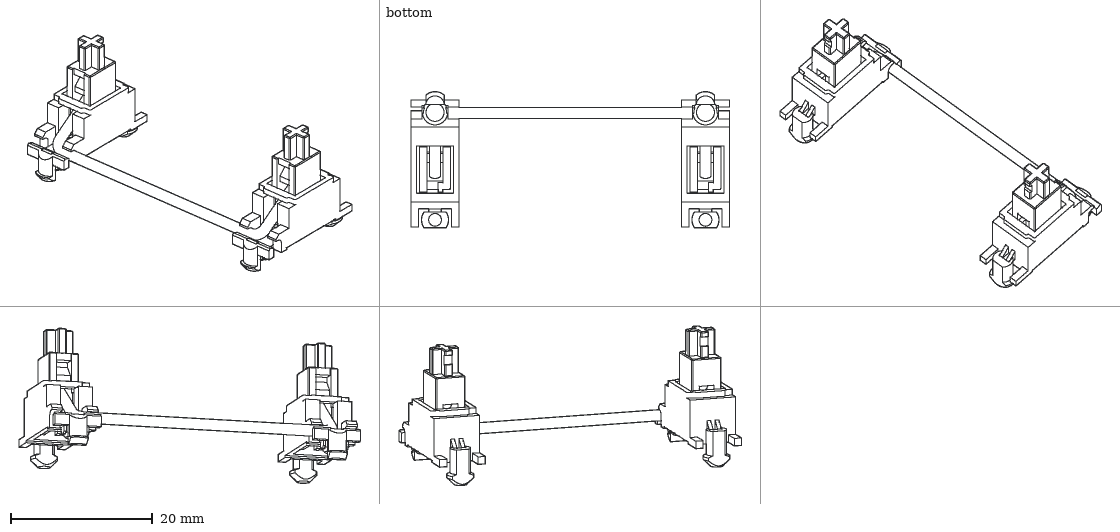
import cadquery as cq
import math


SPACING = 38.1

BODY_W = 6.8
BODY_HALF_Y = 5.53
SHOULDER_Z = 6.48
RELIEF_H = 0.27
RELIEF_Y = (-6.0, 4.58)
CAVITY_W = 5.2
CAVITY_L = 6.6
FRONT_SLOT_W = 2.6

RIM_TOP = 7.3
RIM_L = 8.4
RIM_PAD_W = 4.4
RIM_PAD_L = 9.2
RIM_FILLET = 0.19

PRONG_W = 1.09
PRONG_H = 1.09
PRONG_END_Y = 8.1
LEG_Y = 7.08
LEG_THICK = 2.24
LEG_NECK_R = 1.45
LEG_HEAD_R = 1.92
LEG_TIP_R = 0.9
LEG_TOP = 2.33
LEG_FLARE_Z = (-1.2, -1.45)
LEG_HEAD_Z = -1.87
LEG_BOTTOM = -2.9
GUSSET_W = 1.8
GUSSET_SLOT_W = 0.66
GUSSET_TOP = 3.33
GUSSET_BOTTOM = 1.5
GUSSET_END_Y = 6.94
GUSSET_END_Z = GUSSET_TOP - (GUSSET_END_Y - BODY_HALF_Y)

WIRE_D = 1.6
WIRE_Y = -7.98
WIRE_Z = 1.52
WIRE_SLOPE = 34.0
WIRE_BEND_R = 1.6
WIRE_ARM_END_Y = 0.8

CHEEK_W = 1.55
CHEEK_TOP = 3.27
CHEEK_SLOPE_Y = -7.7
CHEEK_TIP_Y = -8.32
CHEEK_TIP_Z = 2.65
CLIP_R = WIRE_D / 2 + 0.03
FLOOR_TOP = 0.68
FLOOR_W = BODY_W - 2 * CHEEK_W
BOSS_R = 1.77
BOSS_Y = -8.07
BOSS_H = 1.45
BOSS_CHAMFER = 0.5
KEY_Y = -8.34
KEY_L = 1.38
KEY_H = 1.1
KEY_CHAMFER = 0.35

BAR_BACK_Y = WIRE_Y - CLIP_R
BAR_FRONT_Y = -9.84
BAR_RIDGE_Y = -9.6
BAR_RIDGE_Z = 1.75
BAR_EDGE_Z = 1.47
BAR_FLAT_Z = 1.6
BAR_FLAT_W = 1.84
LATCH_W = 2.6
LATCH_BACK_Y = -9.2
LATCH_AXIS_Y = -9.06
LATCH_R = 1.53
LATCH_FRONT_Y = LATCH_AXIS_Y - LATCH_R
LATCH_SLOPE_Z = 0.84
LATCH_BOTTOM = -2.72
LATCH_TIP_R = 1.32
LIP_R = 1.94
LIP_FRONT_Y = LATCH_AXIS_Y - LIP_R
LIP_TOP = -1.73
LIP_EDGE_Z = -1.95

STEM_W = 4.4
STEM_L = 5.66
STEM_BOTTOM = 1.0
STEM_TOP = 11.72
STEM_CHAMFER = 0.15
CROSS_X = 4.0
CROSS_Y = 4.1
CROSS_ARM_X = 1.2
CROSS_ARM_Y = 1.3
CROSS_TOP = 15.4
CROSS_CHAMFER = 0.15
NOTCH_TOP = 14.63
NOTCH_H = 1.35
NOTCH_DEPTH = 0.35
GROOVE_W = 2.2
GROOVE_DEPTH = 0.32
PASSAGE_TOP = 7.75
WINDOW_Z = (8.6, 10.7)
BAR_FACE_Y = -2.25
WINDOW_BACK_Y = -0.85
RAMP_TOP = 10.0
WIRE_POCKET_Y = (-1.0, 1.6)
RAIL_TOP = 6.0
RAIL_END_Y = CAVITY_L / 2 - 0.1
GUIDE_RAIL_Y = 1.83
GUIDE_RAIL_X = (0.42, GROOVE_W / 2)


def block(x, y, z):
    """Box between the given (low, high) limits."""
    size = [high - low for low, high in (x, y, z)]
    return cq.Workplane("XY").box(*size, centered=False).translate((x[0], y[0], z[0]))


def centred(width, y, z):
    """Box of the given width, centred on X = 0."""
    return block((-width / 2, width / 2), y, z)


def extruded_profile(points, width):
    """Outline of (Y, Z) points extruded evenly about X = 0."""
    return cq.Workplane("YZ").polyline(points).close().extrude(width / 2, both=True)


def make_rim():
    rim = centred(BODY_W, (-RIM_L / 2, RIM_L / 2), (SHOULDER_Z, RIM_TOP))
    pad = centred(RIM_PAD_W, (-RIM_PAD_L / 2, RIM_PAD_L / 2), (SHOULDER_Z, RIM_TOP))
    return rim.union(pad).edges("|Z").fillet(RIM_FILLET)


def make_rear_leg():
    profile = [
        (0, LEG_TOP),
        (LEG_NECK_R, LEG_TOP),
        (LEG_NECK_R, LEG_FLARE_Z[0]),
        (LEG_HEAD_R, LEG_FLARE_Z[1]),
        (LEG_HEAD_R, LEG_HEAD_Z),
        (LEG_TIP_R, LEG_BOTTOM),
        (0, LEG_BOTTOM),
    ]
    post = cq.Workplane("XZ").polyline(profile).close().revolve(360, (0, 0), (0, 1))
    slab = centred(2 * LEG_HEAD_R, (-LEG_THICK / 2, LEG_THICK / 2), (LEG_BOTTOM, LEG_TOP))
    leg = post.intersect(slab).translate((0, LEG_Y, 0))
    gusset_pocket = centred(GUSSET_W, (BODY_HALF_Y, GUSSET_END_Y), (GUSSET_END_Z, LEG_TOP))
    return leg.cut(gusset_pocket)


def make_gusset():
    profile = [
        (BODY_HALF_Y, GUSSET_BOTTOM),
        (GUSSET_END_Y, GUSSET_BOTTOM),
        (GUSSET_END_Y, GUSSET_END_Z),
        (BODY_HALF_Y, GUSSET_TOP),
    ]
    slot = centred(GUSSET_SLOT_W, (BODY_HALF_Y, GUSSET_END_Y), (GUSSET_END_Z, GUSSET_TOP))
    return extruded_profile(profile, GUSSET_W).cut(slot)


def make_cheek():
    """Side cheek with a hook over the wire, open to the front."""
    groove_back = WIRE_Y + CLIP_R
    side = (
        cq.Workplane("YZ")
        .moveTo(-BODY_HALF_Y, 0)
        .lineTo(groove_back, 0)
        .lineTo(groove_back, WIRE_Z)
        .threePointArc(
            (WIRE_Y + CLIP_R * math.sqrt(0.5), WIRE_Z + CLIP_R * math.sqrt(0.5)),
            (WIRE_Y, WIRE_Z + CLIP_R),
        )
        .lineTo(CHEEK_TIP_Y, WIRE_Z + CLIP_R)
        .lineTo(CHEEK_TIP_Y, CHEEK_TIP_Z)
        .lineTo(CHEEK_SLOPE_Y, CHEEK_TOP)
        .lineTo(-BODY_HALF_Y, CHEEK_TOP)
        .close()
    )
    return side.extrude(CHEEK_W)


def make_boss():
    boss = cq.Workplane("XY").center(0, BOSS_Y).circle(BOSS_R).extrude(-BOSS_H)
    boss = boss.faces("<Z").edges().chamfer(BOSS_CHAMFER)
    key = centred(FLOOR_W, (KEY_Y - KEY_L / 2, KEY_Y + KEY_L / 2), (-KEY_H, 0))
    return boss.union(key.faces("<Z").edges("|X").chamfer(KEY_CHAMFER))


def make_front_bar():
    profile = [
        (BAR_BACK_Y, 0),
        (BAR_FRONT_Y, 0),
        (BAR_FRONT_Y, BAR_EDGE_Z),
        (BAR_RIDGE_Y, BAR_RIDGE_Z),
        (BAR_BACK_Y, BAR_EDGE_Z),
    ]
    bar = extruded_profile(profile, BODY_W)
    return bar.cut(centred(BAR_FLAT_W, (BAR_FRONT_Y, BAR_BACK_Y), (BAR_FLAT_Z, BAR_RIDGE_Z)))


def make_latch():
    """Front leg hanging from the bar: part of a round post with a sloped top and a snap lip."""
    profile = [
        (0, BAR_EDGE_Z),
        (LATCH_R, BAR_EDGE_Z),
        (LATCH_R, LIP_TOP),
        (LIP_R, LIP_TOP),
        (LIP_R, LIP_EDGE_Z),
        (LATCH_TIP_R, LATCH_BOTTOM),
        (0, LATCH_BOTTOM),
    ]
    post = cq.Workplane("XZ").polyline(profile).close().revolve(360, (0, 0), (0, 1))
    post = post.translate((0, LATCH_AXIS_Y, 0))
    side = [
        (LATCH_BACK_Y, LATCH_BOTTOM),
        (LIP_FRONT_Y, LATCH_BOTTOM),
        (LIP_FRONT_Y, LIP_TOP),
        (LATCH_FRONT_Y, LIP_TOP),
        (LATCH_FRONT_Y, LATCH_SLOPE_Z),
        (BAR_FRONT_Y, BAR_EDGE_Z),
        (LATCH_BACK_Y, BAR_EDGE_Z),
    ]
    return post.intersect(extruded_profile(side, LATCH_W))


def make_housing():
    half_w = BODY_W / 2
    body = centred(BODY_W, (-BODY_HALF_Y, BODY_HALF_Y), (0, SHOULDER_Z)).union(make_rim())
    body = body.union(centred(FLOOR_W, (BAR_BACK_Y, -BODY_HALF_Y), (0, FLOOR_TOP)))
    for left in (-half_w, half_w - CHEEK_W):
        body = body.union(make_cheek().translate((left, 0, 0)))
    for left in (-half_w, half_w - PRONG_W):
        body = body.union(block((left, left + PRONG_W), (BODY_HALF_Y, PRONG_END_Y), (0, PRONG_H)))
    for feature in (make_rear_leg(), make_gusset(), make_boss(), make_front_bar(), make_latch()):
        body = body.union(feature)

    cavity = centred(CAVITY_W, (-CAVITY_L / 2, CAVITY_L / 2), (0, RIM_TOP))
    front_slot = centred(FRONT_SLOT_W, (-BODY_HALF_Y, 0), (FLOOR_TOP, SHOULDER_Z))
    relief = centred(BODY_W, RELIEF_Y, (0, RELIEF_H))
    return body.cut(cavity).cut(front_slot).cut(relief)


def make_cross():
    along_x = block(
        (-CROSS_X / 2, CROSS_X / 2), (-CROSS_ARM_Y / 2, CROSS_ARM_Y / 2), (STEM_TOP, CROSS_TOP)
    )
    along_y = centred(CROSS_ARM_X, (-CROSS_Y / 2, CROSS_Y / 2), (STEM_TOP, CROSS_TOP))
    cross = along_x.edges("|Z").chamfer(CROSS_CHAMFER).union(along_y.edges("|Z").chamfer(CROSS_CHAMFER))
    cross = cross.faces(">Z").edges().chamfer(CROSS_CHAMFER)
    notch = centred(
        CROSS_ARM_X, (CROSS_Y / 2 - NOTCH_DEPTH, CROSS_Y / 2), (NOTCH_TOP - NOTCH_H, NOTCH_TOP)
    )
    return cross.cut(notch)


def make_stem():
    half_w = STEM_W / 2
    front_y = -STEM_L / 2
    back_y = STEM_L / 2
    stem = centred(STEM_W, (front_y, back_y), (STEM_BOTTOM, STEM_TOP))
    stem = stem.edges("|Z").chamfer(STEM_CHAMFER).faces(">Z").edges().chamfer(STEM_CHAMFER)
    stem = stem.union(make_cross())

    right_rail = (GROOVE_W / 2, half_w)
    left_rail = (-half_w, -GROOVE_W / 2)
    rail_z = (STEM_BOTTOM, RAIL_TOP)
    for rail_x in (left_rail, right_rail):
        stem = stem.union(block(rail_x, (-RAIL_END_Y, 0), rail_z))
    stem = stem.union(block(left_rail, (0, RAIL_END_Y), rail_z))

    stem = stem.cut(centred(GROOVE_W, (front_y, front_y + GROOVE_DEPTH), (STEM_BOTTOM, STEM_TOP)))
    stem = stem.cut(centred(GROOVE_W, (front_y, back_y), (STEM_BOTTOM, PASSAGE_TOP)))
    pocket_front, pocket_back = WIRE_POCKET_Y
    pocket_rise = (pocket_back - pocket_front) * math.tan(math.radians(WIRE_SLOPE))
    wire_pocket = [
        (pocket_front, PASSAGE_TOP),
        (pocket_back, PASSAGE_TOP),
        (pocket_back, PASSAGE_TOP + pocket_rise),
    ]
    stem = stem.cut(extruded_profile(wire_pocket, GROOVE_W))
    window = [
        (front_y, PASSAGE_TOP),
        (BAR_FACE_Y, PASSAGE_TOP),
        (BAR_FACE_Y, WINDOW_Z[0]),
        (WINDOW_BACK_Y, RAMP_TOP),
        (WINDOW_BACK_Y, WINDOW_Z[1]),
        (front_y, WINDOW_Z[1]),
    ]
    stem = stem.cut(extruded_profile(window, GROOVE_W))
    guide_rail = block(GUIDE_RAIL_X, (GUIDE_RAIL_Y, RAIL_END_Y), rail_z)
    return stem.union(guide_rail)


def make_wire():
    """Straight rod with an arm bent back and up at each end, in the plane of the slope."""
    arm_length = (WIRE_ARM_END_Y - WIRE_Y) / math.cos(math.radians(WIRE_SLOPE))
    slope_plane = cq.Plane(
        origin=(0, WIRE_Y, WIRE_Z),
        xDir=(1, 0, 0),
        normal=(0, -math.sin(math.radians(WIRE_SLOPE)), math.cos(math.radians(WIRE_SLOPE))),
    )
    half = SPACING / 2
    bend_mid = WIRE_BEND_R * (1 - math.sqrt(0.5))
    path = (
        cq.Workplane(slope_plane)
        .moveTo(-half, arm_length)
        .lineTo(-half, WIRE_BEND_R)
        .threePointArc((-half + bend_mid, bend_mid), (-half + WIRE_BEND_R, 0))
        .lineTo(half - WIRE_BEND_R, 0)
        .threePointArc((half - bend_mid, bend_mid), (half, WIRE_BEND_R))
        .lineTo(half, arm_length)
    )
    start = slope_plane.toWorldCoords((-half, arm_length, 0))
    section = cq.Workplane(cq.Plane(start, xDir=(1, 0, 0), normal=-slope_plane.yDir))
    return section.circle(WIRE_D / 2).sweep(path)


housings = []
stems = []
for axis_x in (-SPACING / 2, SPACING / 2):
    housings.append(make_housing().translate((axis_x, 0, 0)).val())
    stems.append(make_stem().translate((axis_x, 0, 0)).val())
wire = make_wire()

result = cq.Compound.makeCompound([*housings, *stems, wire.val()])